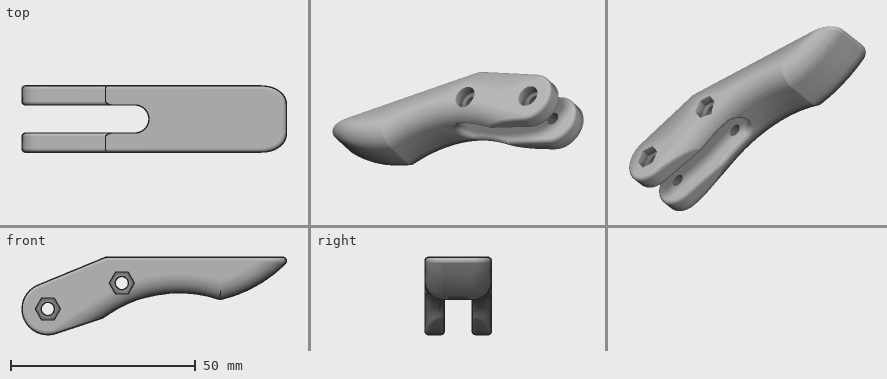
import cadquery as cq
import math

width = 18.0
end_radius = 7.0
top_z = 14.0
knee_x = 15.63
grip_apex = (35.5, 4.37)
grip_arc_radius = 33.9
heel_x = 15.0
heel_angle = math.radians(32.8)
grip_end_x = 46.55
tip_mid = (54.7, 5.4)
tip_x = 65.83

rim_radius = 1.0
grip_radius = 5.0

slot_width = 7.5
slot_end_x = 27.3

pins = [(0.0, 0.0), (20.0, 7.0)]
pin_diameter = 3.5
nut_across_flats = 5.9
nut_depth = 2.5
head_diameter = 6.0
head_depth = 3.25

half_width = width / 2
slot_half = slot_width / 2
knee = (knee_x, top_z)
tip = (tip_x, top_z)


def on_grip_arc(angle):
    """Point on the hollow grip arc where its slope is the given angle."""
    return (
        grip_apex[0] - grip_arc_radius * math.sin(angle),
        grip_apex[1] - grip_arc_radius * (1 - math.cos(angle)),
    )


grip_start = on_grip_arc(heel_angle)
heel = (heel_x, grip_start[1] - (grip_start[0] - heel_x) * math.tan(heel_angle))
grip_end = on_grip_arc(-math.asin((grip_end_x - grip_apex[0]) / grip_arc_radius))


def end_circle_tangent(point, side):
    """Point where the line from point touches the end circle; side is +1 above, -1 below."""
    angle = math.atan2(point[1], point[0]) + side * math.acos(end_radius / math.hypot(*point))
    return (end_radius * math.cos(angle), end_radius * math.sin(angle))


upper_tangent = end_circle_tangent(knee, 1)
lower_tangent = end_circle_tangent(heel, -1)


def make_blank():
    return (
        cq.Workplane("XZ")
        .moveTo(*knee)
        .lineTo(*upper_tangent)
        .threePointArc((-end_radius, 0), lower_tangent)
        .lineTo(*heel)
        .lineTo(*grip_start)
        .threePointArc(grip_apex, grip_end)
        .threePointArc(tip_mid, tip)
        .close()
        .extrude(half_width, both=True)
    )


def fillet_chains(body, points, radius):
    """Round the edges centred nearest the points, each with all that runs on smoothly from it."""
    edges = [body.edges(cq.selectors.NearestToPointSelector(point)).val() for point in points]
    return body.newObject(edges).fillet(radius)


def slope_edge_centers(y):
    """Middles of the two edges, at -y and +y, of the sloping top of the arms."""
    x = (knee[0] + upper_tangent[0]) / 2
    z = (knee[1] + upper_tangent[1]) / 2
    return [(x, -y, z), (x, y, z)]


def round_grip(body):
    """Round the underside's side edges; the straight run at the heel fades out on the arms."""
    grip_edges = [edge for edge in body.edges("%CIRCLE").vals() if edge.Center().x > heel_x]
    return body.newObject(grip_edges).fillet(grip_radius)


def cut_slot(body):
    open_x = -2 * end_radius
    arc_x = slot_end_x - slot_half
    slot = (
        cq.Workplane("XY")
        .moveTo(open_x, -slot_half)
        .lineTo(arc_x, -slot_half)
        .threePointArc((slot_end_x, 0), (arc_x, slot_half))
        .lineTo(open_x, slot_half)
        .close()
        .extrude(2 * top_z, both=True)
    )
    return body.cut(slot)


def round_rims(body):
    """Round the outer rim: around the top face and tip, and around each arm."""
    tip_edge_center = (tip_x, 0, top_z)
    return fillet_chains(body, [tip_edge_center, *slope_edge_centers(half_width)], rim_radius)


def round_slot(body):
    """Round the slot's edges on the arms and on the underside; its edges on the top stay sharp."""
    return fillet_chains(body, slope_edge_centers(slot_half), rim_radius)


def cut_pins(body):
    """Drill each pin hole through both arms, then sink its nut pocket at -Y and its head recess at +Y."""
    nut_across_corners = nut_across_flats / math.cos(math.pi / 6)
    nut_side = cq.Workplane("XZ", origin=(0, -half_width, 0)).pushPoints(pins)
    head_side = cq.Workplane("XZ", origin=(0, half_width, 0)).pushPoints(pins)
    holes = nut_side.circle(pin_diameter / 2).extrude(-width)
    nut_pockets = nut_side.polygon(6, nut_across_corners).extrude(-nut_depth)
    head_recesses = head_side.circle(head_diameter / 2).extrude(head_depth)
    return body.cut(holes).cut(nut_pockets).cut(head_recesses)


grip_body = round_grip(make_blank())
arms = round_slot(round_rims(cut_slot(grip_body)))
result = cut_pins(arms)